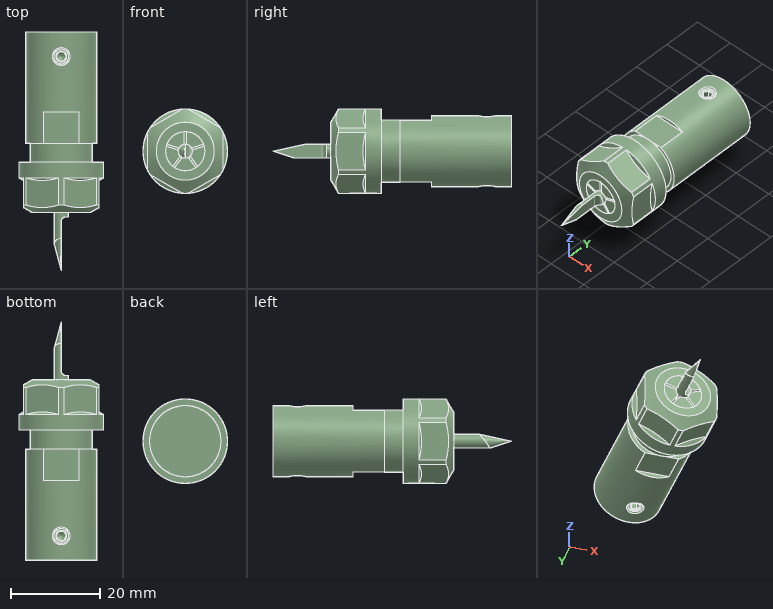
import cadquery as cq
import math


holder_diameter = 16.0
neck_diameter = 14.0
shoulder_y = -25.0
flat_start_y = -18.0
flat_height = 6.95

screw_y = -5.5
screw_diameter = 3.3
screw_hole_chamfer = 0.3
screw_face_height = 7.5
screw_length = 5.0
socket_across_flats = 2.05
socket_depth = 2.0
socket_mouth_diameter = 2.45
socket_cone_angle = 30

nut_diameter = 19.0
nut_rear_y = -29.2
nut_front_y = -40.55
flange_length = 3.55
nut_across_flats = 17.0
nut_face_diameter = 13.0
chamfer_angle = 30

collet_diameter = 8.8
slit_count = 5
slit_width = 0.5
collet_bridge = 1.6

cutter_diameter = 3.15
tip_y = -53.5
step_y = -41.5
step_radius = 1.0
upper_tip_length = 7.2
lower_tip_length = 4.8


def turned(points):
    """Revolve a closed outline of (radius, Y) points around the Y axis."""
    return cq.Workplane("XY").polyline(points).close().revolve(360, (0, 0, 0), (0, 1, 0))


def cylinder_y(diameter, start_y, end_y):
    """Cylinder on the Y axis from start_y towards -Y, ending at end_y."""
    return cq.Workplane("XZ", origin=(0, start_y, 0)).circle(diameter / 2).extrude(start_y - end_y)


def cylinder_z(diameter, start_z, end_z):
    """Vertical cylinder at the set screw position."""
    return cq.Workplane("XY", origin=(0, screw_y, start_z)).circle(diameter / 2).extrude(end_z - start_z)


def across_corners(across_flats):
    """Corner-to-corner size of a regular hexagon."""
    return across_flats / math.cos(math.pi / 6)


def make_holder():
    holder_radius = holder_diameter / 2
    barrel = cylinder_y(holder_diameter, 0, shoulder_y)
    screw_hole = cylinder_z(screw_diameter, screw_face_height - screw_length, holder_radius)
    flat_cut = (
        cq.Workplane("XY", origin=(0, shoulder_y, flat_height))
        .box(
            holder_diameter,
            flat_start_y - shoulder_y,
            holder_radius - flat_height,
            centered=(True, False, False),
        )
    )
    barrel = barrel.cut(screw_hole).cut(screw_hole.mirror("XY"))
    for surface_z in (holder_radius, -holder_radius):
        mouth_edge = cq.NearestToPointSelector((0, screw_y, surface_z))
        barrel = barrel.edges(mouth_edge).chamfer(screw_hole_chamfer)
    barrel = barrel.cut(flat_cut).cut(flat_cut.mirror("XY"))
    return barrel.union(cylinder_y(neck_diameter, shoulder_y, nut_rear_y))


def cone_down(radius, depth, base_z):
    """Cone at the set screw position with its base at base_z and its apex below."""
    base_centre = cq.Vector(0, screw_y, base_z)
    return cq.Workplane(cq.Solid.makeCone(radius, 0, depth, pnt=base_centre, dir=cq.Vector(0, 0, -1)))


def make_upper_screw():
    screw = cylinder_z(screw_diameter, screw_face_height - screw_length, screw_face_height)
    corner_radius = across_corners(socket_across_flats) / 2
    mouth_radius = socket_mouth_diameter / 2
    hexagon = (
        cq.Workplane("XY", origin=(0, screw_y, screw_face_height))
        .polygon(6, 2 * corner_radius)
        .extrude(-socket_depth)
    )
    floor_cone_depth = corner_radius * math.tan(math.radians(socket_cone_angle))
    floor_cone = cone_down(corner_radius, floor_cone_depth, screw_face_height - socket_depth)
    mouth_cone = cone_down(mouth_radius, mouth_radius, screw_face_height)
    return screw.cut(hexagon).cut(floor_cone).cut(mouth_cone)


def make_nut():
    radius = nut_diameter / 2
    face_radius = nut_face_diameter / 2
    slope = math.tan(math.radians(chamfer_angle))
    flange_y = nut_rear_y - flange_length
    front_chamfer_y = nut_front_y + (radius - face_radius) * slope

    flange = turned(
        [
            (0, nut_rear_y),
            (radius, nut_rear_y),
            (radius, flange_y),
            (0, flange_y - radius * slope),
        ]
    )
    blank = turned(
        [
            (0, nut_rear_y),
            (radius, nut_rear_y),
            (radius, front_chamfer_y),
            (face_radius, nut_front_y),
            (0, nut_front_y),
        ]
    )
    hexagon = (
        cq.Workplane("XZ", origin=(0, nut_rear_y, 0))
        .polygon(6, across_corners(nut_across_flats))
        .extrude(nut_rear_y - nut_front_y)
        .rotate((0, 0, 0), (0, 1, 0), 30)
    )
    nut = blank.intersect(hexagon).union(flange)
    return nut.cut(cylinder_y(collet_diameter, nut_rear_y, nut_front_y))


def make_collet():
    collet = cylinder_y(collet_diameter, nut_rear_y, nut_front_y)
    collet = collet.cut(cylinder_y(cutter_diameter, nut_rear_y, nut_front_y))
    slit_length = nut_rear_y - nut_front_y - collet_bridge
    slit = (
        cq.Workplane("XY", origin=(0, nut_front_y, 0))
        .box(slit_width, slit_length, collet_diameter, centered=(True, False, False))
    )
    for index in range(slit_count):
        collet = collet.cut(slit.rotate((0, 0, 0), (0, 1, 0), index * 360 / slit_count))
    return collet


def make_tip_cone():
    """Cone with its apex on the axis, tilted so that its upper and lower sides differ in length."""
    radius = cutter_diameter / 2
    upper_angle = math.atan(radius / upper_tip_length)
    lower_angle = math.atan(radius / lower_tip_length)
    half_angle = (upper_angle + lower_angle) / 2
    tilt = (lower_angle - upper_angle) / 2
    length = 2 * (nut_rear_y - tip_y)
    cone_axis = cq.Vector(0, math.cos(tilt), -math.sin(tilt))
    base_radius = length * math.tan(half_angle)
    apex = cq.Vector(0, tip_y, 0)
    return cq.Workplane(cq.Solid.makeCone(0, base_radius, length, pnt=apex, dir=cone_axis))


def make_cutter():
    relief = (
        cq.Workplane("XY", origin=(0, 0, -cutter_diameter / 2))
        .moveTo(0, tip_y)
        .lineTo(0, step_y - step_radius)
        .radiusArc((step_radius, step_y), step_radius)
        .lineTo(cutter_diameter, step_y)
        .lineTo(cutter_diameter, tip_y)
        .close()
        .extrude(cutter_diameter)
    )
    shank = cylinder_y(cutter_diameter, nut_rear_y, tip_y)
    return shank.intersect(make_tip_cone()).cut(relief)


holder = make_holder()
nut = make_nut()
collet = make_collet()
cutter = make_cutter()
upper_screw = make_upper_screw()
set_screws = [upper_screw.rotate((0, screw_y, 0), (0, screw_y + 0.55, 0), turn) for turn in (0, 180)]

result = cq.Compound.makeCompound(
    [holder.val(), nut.val(), collet.val(), cutter.val(), *[screw.val() for screw in set_screws]]
)